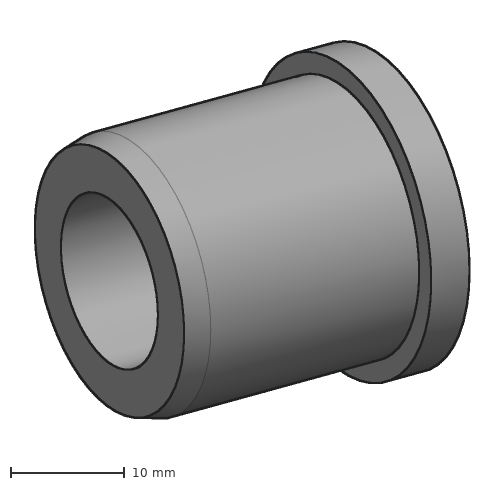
import cadquery as cq

flange_diameter = 30.0
flange_thickness = 4.0
total_length = 28.0
body_diameter = 26.0
bore_diameter = 16.05
nose_length = 2.37
nose_inset = 0.63

flange_radius = flange_diameter / 2
body_radius = body_diameter / 2
bore_radius = bore_diameter / 2
nose_radius = body_radius - nose_inset
flange_start = total_length - flange_thickness

half_section = (
    cq.Workplane("XY")
    .moveTo(bore_radius, 0)
    .lineTo(nose_radius, 0)
    .lineTo(body_radius, nose_length)
    .lineTo(body_radius, flange_start)
    .lineTo(flange_radius, flange_start)
    .lineTo(flange_radius, total_length)
    .lineTo(bore_radius, total_length)
    .close()
)

result = half_section.revolve(360, (0, 0, 0), (0, 1, 0))